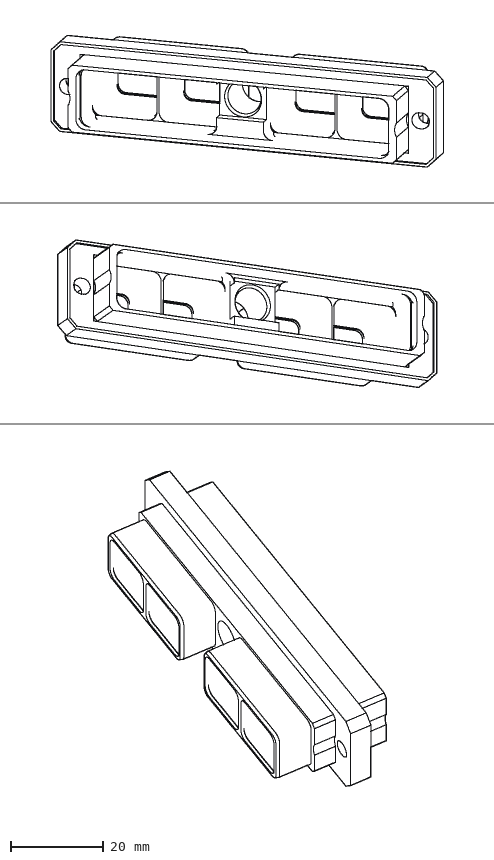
import cadquery as cq
import math


flange_length = 87.9
flange_height = 20.3
flange_front = 7.65
flange_rear = 12.75
flange_corner = 2.0
rim_width = 0.6
rim_depth = 0.6
foot_height = 0.2
screw_spacing = 80.45
screw_slot_length = 4.0
screw_slot_height = 3.6
screw_head_radius = 3.2

body_length = 75.0
body_height = 15.1
body_rear = 18.0
body_corner = 0.9

shell_length = 31.2
shell_height = 13.5
shell_center = 20.5
shell_rear = 26.7
shell_radius = 1.85
shell_tip_length = 0.8
shell_tip_inset = 0.3

cavity_height = 13.5
cavity_radius = 2.0
mouth_length = 71.4
mouth_radius = 2.2
mouth_straight = 1.8
mouth_depth = 2.4

draft_angle = 15.0
block_front = 5.3
ramp_start = 8.1
ramp_end = 9.4
pocket_depth = 10.0

window_center = 20.3
window_width = 14.2
window_height = 12.3
window_radius = 1.85
window_wall = 1.05
lead_in_depth = 1.05
rear_lip = 0.2
rear_lip_thickness = shell_tip_length

relief_bottom = -2.8
relief_top = 6.0
relief_depth = 7.4
guide_height = 1.5
guide_diameter = 7.6
guide_mouth_diameter = 8.4
guide_mouth_depth = 0.9

draft = math.tan(math.radians(draft_angle))
lead_in_spread = lead_in_depth * draft
pocket_length = 2 * window_width + window_wall + 2 * lead_in_spread
cavity_length = 2 * window_center + pocket_length
block_width = 2 * window_center - pocket_length


def y_plane(y):
    """Sketch plane facing the rear, with local x along -X and local y along Z."""
    return cq.Workplane("XZ", origin=(0, y, 0)).transformed(rotate=(0, 180, 0))


def block(length, height, y_start, y_end, x_center=0.0):
    """Rectangular bar along Y, centred on Z = 0."""
    return y_plane(y_start).center(-x_center, 0).rect(length, height).extrude(y_end - y_start)


def rounded_block(length, height, radius, y_start, y_end, x_center=0.0):
    return block(length, height, y_start, y_end, x_center).edges("|Y").fillet(radius)


def drafted_block(length, height, radius, y_start, y_end, x_center=0.0):
    """Rounded bar that narrows toward the rear at the draft angle."""
    outline = cq.Sketch().rect(length, height).vertices().fillet(radius)
    plane = y_plane(y_start).center(-x_center, 0)
    return plane.placeSketch(outline).extrude(y_end - y_start, taper=draft_angle)


def mirrored(solid):
    """The given right-hand feature together with its left-hand twin."""
    return solid.union(solid.mirror("YZ"))


def screw_places(y):
    return y_plane(y).pushPoints([(-screw_spacing / 2, 0), (screw_spacing / 2, 0)])


def make_flange():
    flange = block(flange_length, flange_height, flange_front, flange_rear)
    flange = flange.edges("|Y").chamfer(flange_corner)
    recess_floor = flange_front + rim_depth
    recess = block(
        flange_length - 2 * rim_width,
        flange_height - 2 * rim_width,
        flange_front,
        recess_floor,
    )
    recess_corner = flange_corner - rim_width * (2 - math.sqrt(2))
    recess = recess.edges("|Y").chamfer(recess_corner)
    foot = block(body_length, body_height, recess_floor - foot_height, recess_floor)
    flange = flange.cut(recess.cut(foot))
    slots = screw_places(flange_front).slot2D(screw_slot_length, screw_slot_height)
    return flange.cut(slots.extrude(flange_rear - flange_front))


def make_body():
    body = block(body_length, body_height, 0, body_rear).edges("|Y").chamfer(body_corner)
    return body.cut(screw_places(0).circle(screw_head_radius).extrude(body_rear))


def make_shell():
    shell = rounded_block(shell_length, shell_height, shell_radius, body_rear, shell_rear, shell_center)
    return shell.faces(">Y").chamfer(shell_tip_length, shell_tip_inset)


def make_mouth():
    straight = rounded_block(mouth_length, cavity_height, mouth_radius, 0, mouth_straight)
    taper_length = mouth_depth - mouth_straight
    end_taper = 2 * taper_length * draft
    taper = (
        y_plane(mouth_straight).rect(mouth_length, cavity_height)
        .workplane(offset=taper_length).rect(mouth_length - end_taper, cavity_height)
        .loft(combine=True)
    )
    envelope = rounded_block(mouth_length, cavity_height, mouth_radius, mouth_straight, mouth_depth)
    return straight.union(taper.intersect(envelope))


def make_pocket():
    """Right-hand pocket; its floor and ceiling ramp inward near the rear."""
    pocket = rounded_block(
        pocket_length, cavity_height, cavity_radius, block_front, pocket_depth, window_center
    )
    half_height = cavity_height / 2
    throat = half_height - (ramp_end - ramp_start) * draft
    profile = (
        cq.Workplane("YZ")
        .polyline([
            (block_front, -half_height), (ramp_start, -half_height),
            (ramp_end, -throat), (pocket_depth, -throat),
            (pocket_depth, throat), (ramp_end, throat),
            (ramp_start, half_height), (block_front, half_height),
        ])
        .close()
        .extrude(cavity_length / 2)
    )
    return pocket.intersect(profile)


def make_window(center):
    lead_end = pocket_depth + lead_in_depth
    lead_in = drafted_block(
        window_width + 2 * lead_in_spread,
        window_height + 2 * lead_in_spread,
        window_radius + lead_in_spread,
        pocket_depth,
        lead_end,
        center,
    )
    lip_front = shell_rear - rear_lip_thickness
    bore = rounded_block(window_width, window_height, window_radius, lead_end, lip_front, center)
    exit_height = window_height - 2 * rear_lip
    opening = rounded_block(window_width, exit_height, window_radius, lip_front, shell_rear, center)
    return lead_in.union(bore).union(opening)


def make_cavity():
    cavity = rounded_block(cavity_length, cavity_height, cavity_radius, 0, block_front)
    cavity = cavity.union(make_mouth()).union(mirrored(make_pocket()))
    window_offset = (window_width + window_wall) / 2
    for center in (window_center - window_offset, window_center + window_offset):
        cavity = cavity.union(mirrored(make_window(center)))
    return cavity


def make_relief():
    height = relief_top - relief_bottom
    middle = (relief_top + relief_bottom) / 2
    return block(block_width, height, block_front, relief_depth).translate((0, 0, middle))


def make_guide_hole():
    bore = y_plane(relief_depth).center(0, guide_height)
    hole = bore.circle(guide_diameter / 2).extrude(body_rear - relief_depth)
    mouth = (
        bore.circle(guide_mouth_diameter / 2)
        .workplane(offset=guide_mouth_depth).circle(guide_diameter / 2)
        .loft(combine=True)
    )
    return hole.union(mouth)


result = make_body().union(make_flange()).union(mirrored(make_shell()))
result = result.cut(make_cavity()).cut(make_relief()).cut(make_guide_hole())